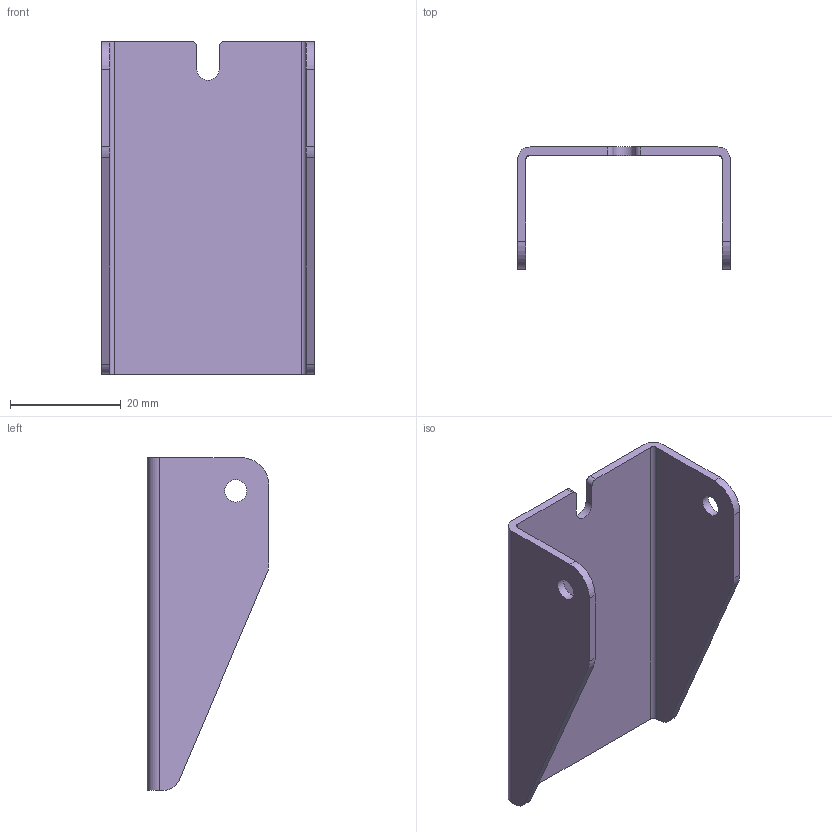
import cadquery as cq

WIDTH = 38.4
DEPTH = 22.0
HEIGHT = 60.0

THICKNESS = 1.5
INNER_BEND_RADIUS = THICKNESS / 2
OUTER_BEND_RADIUS = INNER_BEND_RADIUS + THICKNESS

FOOT_DEPTH = 5.0
FRONT_EDGE_LENGTH = 20.0
TOP_CORNER_RADIUS = 5.0
KNEE_RADIUS = 5.0
FOOT_RADIUS = 3.0

PIN_HOLE_DIAMETER = 4.0
PIN_HOLE_EDGE_DISTANCE = 6.0

SLOT_WIDTH = 4.0
SLOT_CENTER_DEPTH = 5.0
SLOT_MOUTH_RADIUS = 1.0

BACK_Y = DEPTH / 2
FRONT_Y = -DEPTH / 2


def bent_channel():
    """Full-height U channel, open toward -Y, with rounded bends."""
    outer = (
        cq.Workplane("XY")
        .box(WIDTH, DEPTH, HEIGHT, centered=(True, True, False))
        .edges("|Z and >Y")
        .fillet(OUTER_BEND_RADIUS)
    )
    cavity = (
        cq.Workplane("XY")
        .box(WIDTH - 2 * THICKNESS, DEPTH, HEIGHT, centered=(True, True, False))
        .translate((0, -THICKNESS, 0))
        .edges("|Z and >Y")
        .fillet(INNER_BEND_RADIUS)
    )
    return outer.cut(cavity)


def side_profile():
    """Side outline of the bracket, extruded across its full width."""
    outline = [
        (BACK_Y, 0),
        (BACK_Y, HEIGHT),
        (FRONT_Y, HEIGHT),
        (FRONT_Y, HEIGHT - FRONT_EDGE_LENGTH),
        (BACK_Y - FOOT_DEPTH, 0),
    ]
    corner_radii = [
        (outline[2], TOP_CORNER_RADIUS),
        (outline[3], KNEE_RADIUS),
        (outline[4], FOOT_RADIUS),
    ]
    profile = cq.Workplane("YZ").polyline(outline).close().extrude(WIDTH / 2, both=True)
    for corner, radius in corner_radii:
        profile = profile.edges(cq.NearestToPointSelector((0, *corner))).fillet(radius)
    return profile


def pin_hole():
    """Round cutter that passes through both flanges."""
    return (
        cq.Workplane("YZ")
        .center(FRONT_Y + PIN_HOLE_EDGE_DISTANCE, HEIGHT - PIN_HOLE_EDGE_DISTANCE)
        .circle(PIN_HOLE_DIAMETER / 2)
        .extrude(WIDTH, both=True)
    )


def top_slot():
    """Round-bottomed cutter for the back plate, flaring out at the top edge."""
    half_width = SLOT_WIDTH / 2
    mouth_half_width = half_width + SLOT_MOUTH_RADIUS
    mouth_z = HEIGHT - SLOT_MOUTH_RADIUS
    center_z = HEIGHT - SLOT_CENTER_DEPTH
    return (
        cq.Workplane("XZ", origin=(0, BACK_Y, 0))
        .moveTo(-mouth_half_width, HEIGHT)
        .radiusArc((-half_width, mouth_z), SLOT_MOUTH_RADIUS)
        .lineTo(-half_width, center_z)
        .threePointArc((0, center_z - half_width), (half_width, center_z))
        .lineTo(half_width, mouth_z)
        .radiusArc((mouth_half_width, HEIGHT), SLOT_MOUTH_RADIUS)
        .close()
        .extrude(THICKNESS)
    )


result = bent_channel().intersect(side_profile()).cut(pin_hole()).cut(top_slot())